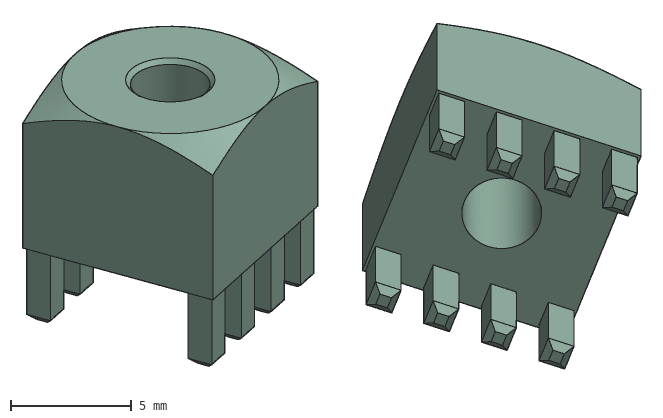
import cadquery as cq
import math

body_side = 9.0
total_height = 10.5
pin_length = 3.5
body_height = total_height - pin_length

corner_slope = 30

hole_diameter = 3.3
lead_in_diameter = 3.7
lead_in = (lead_in_diameter - hole_diameter) / 2

pin_side = 1.13
pin_pitch = 2.54
pins_per_row = 4
row_spacing = pin_pitch * (pins_per_row - 1)
tip_chamfer = 0.32


def corner_trim_envelope():
    """Solid of revolution that keeps everything below the conical corner trim."""
    top_radius = body_side / 2
    outer_radius = body_side
    drop = (outer_radius - top_radius) * math.tan(math.radians(corner_slope))
    return (
        cq.Workplane("XZ")
        .moveTo(0, 0)
        .lineTo(outer_radius, 0)
        .lineTo(outer_radius, body_height - drop)
        .lineTo(top_radius, body_height)
        .lineTo(0, body_height)
        .close()
        .revolve(360, (0, 0, 0), (0, 1, 0))
    )


def make_body():
    block = cq.Workplane("XY").rect(body_side, body_side).extrude(body_height)
    body = block.intersect(corner_trim_envelope())
    hole = cq.Workplane("XY").circle(hole_diameter / 2).extrude(body_height)
    cone = cq.Solid.makeCone(
        hole_diameter / 2, lead_in_diameter / 2, lead_in, pnt=cq.Vector(0, 0, body_height - lead_in)
    )
    return body.cut(hole).cut(cq.Workplane(cone))


def make_pin():
    """Square pin hanging below Z = 0 with a 45 degree tapered tip."""
    pin = cq.Workplane("XY").rect(pin_side, pin_side).extrude(-pin_length)
    return pin.faces("<Z").chamfer(tip_chamfer)


result = make_body()
pin = make_pin()
for x in (-row_spacing / 2, row_spacing / 2):
    for index in range(pins_per_row):
        y = index * pin_pitch - row_spacing / 2
        result = result.union(pin.translate((x, y, 0)))